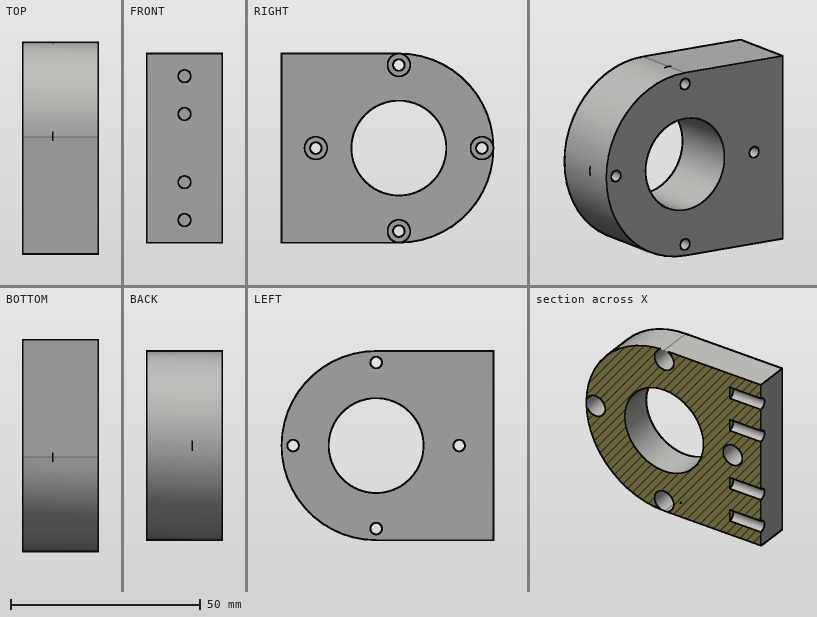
import cadquery as cq
import math

thickness = 20.0
outer_radius = 25.0
foot_distance = 31.0
bore_diameter = 25.0

face_hole_diameter = 3.0
face_hole_square_side = 31.0
face_hole_circle_radius = face_hole_square_side / math.sqrt(2)
face_hole_count = 4
counterbore_diameter = 6.0
counterbore_depth = 12.0

foot_hole_diameter = 3.3
foot_hole_depth = 10.0
foot_hole_inner_offset = 9.0
foot_hole_pitch = 10.0


def make_body():
    """D-shaped block, centred on X."""
    return (
        cq.Workplane("YZ")
        .moveTo(-foot_distance, -outer_radius)
        .lineTo(0, -outer_radius)
        .threePointArc((outer_radius, 0), (0, outer_radius))
        .lineTo(-foot_distance, outer_radius)
        .close()
        .extrude(thickness / 2, both=True)
    )


def make_bore():
    """Central bore through the thickness."""
    return cq.Workplane("YZ").circle(bore_diameter / 2).extrude(thickness / 2, both=True)


def make_face_cylinders(diameter, start_x, length):
    """Ring of cylinders parallel to X, starting at start_x."""
    return (
        cq.Workplane("YZ", origin=(start_x, 0, 0))
        .polarArray(face_hole_circle_radius, 0, 360, face_hole_count)
        .circle(diameter / 2)
        .extrude(length)
    )


def make_face_holes():
    """Ring of through holes, each counterbored from the +X face."""
    holes = make_face_cylinders(face_hole_diameter, -thickness / 2, thickness)
    counterbore_start = thickness / 2 - counterbore_depth
    return holes.union(make_face_cylinders(counterbore_diameter, counterbore_start, counterbore_depth))


def make_foot_holes():
    """Row of blind holes running in +Y from the foot face."""
    outer_offset = foot_hole_inner_offset + foot_hole_pitch
    heights = [-outer_offset, -foot_hole_inner_offset, foot_hole_inner_offset, outer_offset]
    return (
        cq.Workplane("XZ", origin=(0, -foot_distance, 0))
        .pushPoints([(0, height) for height in heights])
        .circle(foot_hole_diameter / 2)
        .extrude(-foot_hole_depth)
    )


result = make_body().cut(make_bore()).cut(make_face_holes()).cut(make_foot_holes())